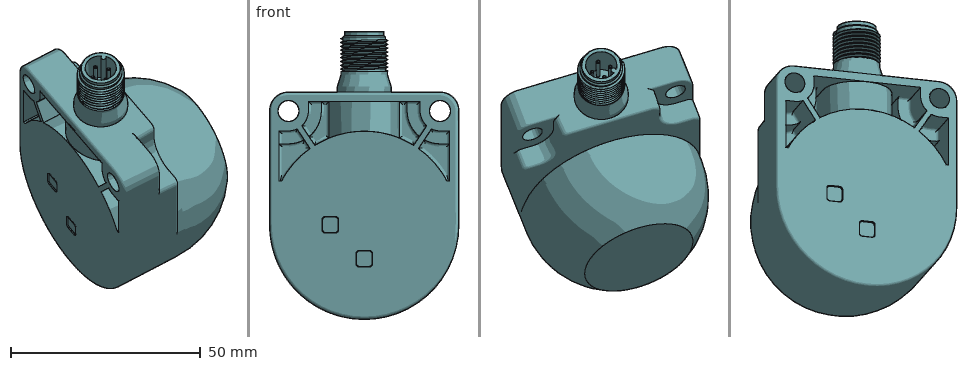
import cadquery as cq
import math


dome_radius = 25.0
drum_length = 19.7
total_depth = 39.6

block_half_width = dome_radius
block_top = 35.0
block_depth = 17.55
corner_radius = 5.0
edge_round = 1.0
back_edge_round = 0.9

hole_diameter = 5.5
hole_x = block_half_width - corner_radius
hole_z = block_top - corner_radius

recess_floor = 11.6
recess_radius = 5.9
recess_draft = 3
recess_lip_round = 2.0
recess_rim_round = 0.6

wall = 2.5
hollow_depth = block_depth - wall
boss_radius = 5.25
step_radius = 8.7
step_depth = recess_floor - wall
rib_width = 1.5
hollow_drum_radius = 24.7
hollow_floor_round = 0.9
hollow_bottom = 11.55

connector_y = 9.4
connector_top = block_top + 15.95
barrel_radius = 9.3
flange_radius = 7.15
flange_top = block_top + 1.4
neck_radius = 6.15
neck_bottom = block_top + 4.55
neck_top = block_top + 5.5
core_radius = 5.6
nose_radius = 5.2
nose_length = 1.0
nose_chamfer = core_radius - nose_radius
thread_radius = 6.2
thread_length = 8.5
thread_turns = 8.5
thread_pitch = thread_length / thread_turns
thread_start = neck_top + 0.1
bore_radius = 4.1
bore_depth = 9.1
pin_count = 4
pin_radius = 0.5
pin_circle = 2.5
pin_chamfer = 0.2
pin_top = connector_top - 2.05
key_radius = 0.7
key_circle = 3.65
key_angle = 135

mark_size = 4.4
mark_corner = 0.9
mark_depth = 0.3
mark_draft = 30
mark_offset = 9.0


def facing_back(y):
    """Sketch plane at depth y, looking along +Y with Z up (its x is mirrored)."""
    return cq.Workplane(cq.Plane(origin=(0, y, 0), xDir=(-1, 0, 0), normal=(0, 1, 0)))


def y_cylinder(radius, start, end, x=0, z=0):
    return facing_back(start).center(-x, z).circle(radius).extrude(end - start)


def z_cylinder(radius, bottom, top, x=0, y=connector_y):
    return cq.Workplane("XY", origin=(x, y, bottom)).circle(radius).extrude(top - bottom)


def corner_block(side, radius, start, end):
    """Block filling a top corner, its inner corner rounded about the mounting hole."""
    reach = corner_radius + 2 * radius
    return (
        facing_back(start)
        .center(side * (hole_x + reach / 2 - radius), hole_z + reach / 2 - radius)
        .rect(reach, reach)
        .extrude(end - start)
        .edges("|Y and <Z")
        .edges("<X" if side < 0 else ">X")
        .fillet(radius)
    )


def make_drum():
    """Drum with a rounded front rim, closed by a truncated sphere."""
    flat_radius = math.sqrt(dome_radius**2 - (total_depth - drum_length) ** 2)
    half_angle = math.asin((total_depth - drum_length) / dome_radius) / 2
    profile = (
        cq.Workplane("XY")
        .lineTo(dome_radius - edge_round, 0)
        .radiusArc((dome_radius, edge_round), -edge_round)
        .lineTo(dome_radius, drum_length)
        .threePointArc(
            (dome_radius * math.cos(half_angle), drum_length + dome_radius * math.sin(half_angle)),
            (flat_radius, total_depth),
        )
        .lineTo(0, total_depth)
        .close()
    )
    return profile.revolve(360, (0, 0, 0), (0, 1, 0))


def make_recess(side):
    """Drafted screw head recess, open to the side and top."""
    outer = side * 2 * block_half_width
    top = 2 * block_top
    left = side * (hole_x - recess_radius)
    low = hole_z - recess_radius
    return (
        facing_back(recess_floor)
        .moveTo(-outer, top)
        .lineTo(-left, top)
        .lineTo(-left, hole_z)
        .radiusArc((-side * hole_x, low), side * recess_radius)
        .lineTo(-outer, low)
        .close()
        .extrude(block_depth - recess_floor + 0.75, taper=-recess_draft)
    )


def edge_near(x, y, z):
    """Selector for the edges whose middle lies close to a point."""
    reach = 0.6
    return cq.selectors.BoxSelector((x - reach, y - reach, z - reach), (x + reach, y + reach, z + reach))


def make_block():
    """Block with rounded corners, recessed at the back corners, kept above the drum axis."""
    block = (
        facing_back(0)
        .rect(2 * block_half_width, 2 * block_top)
        .extrude(block_depth)
        .edges("|Y")
        .fillet(corner_radius)
        .faces("<Y")
        .edges()
        .fillet(edge_round)
    )
    lip_y = (recess_floor + block_depth) / 2
    corner_reach = corner_radius * math.cos(math.pi / 4)
    for side in (-1, 1):
        block = block.cut(make_recess(side))
        top_lip = edge_near(side * (hole_x - recess_radius), lip_y, block_top)
        side_lip = edge_near(side * block_half_width, lip_y, hole_z - recess_radius)
        block = block.edges(top_lip + side_lip).fillet(recess_lip_round)
        rim = edge_near(side * (hole_x + corner_reach), recess_floor, hole_z + corner_reach)
        block = block.edges(rim).fillet(recess_rim_round)
    block = block.faces(">Y").edges().fillet(back_edge_round)
    upper_half = cq.Workplane("XY").box(
        2 * block_half_width, 2 * block_depth, block_top, centered=(True, True, False)
    )
    return block.intersect(upper_half)


def make_rib(side):
    """Thin web from a screw boss toward the drum axis."""
    length = math.hypot(hole_x, hole_z)
    tilt = math.degrees(math.atan2(hole_x, hole_z))
    return (
        cq.Workplane("XY")
        .box(rib_width, hollow_depth, length, centered=(True, False, False))
        .rotate((0, 0, 0), (0, 1, 0), side * tilt)
    )


def make_hollow_level(depth, corner):
    """Cavity around the drum and barrel to one depth, leaving corner blocks and ribs standing."""
    half_width = block_half_width - wall
    ceiling = block_top - wall
    level = cq.Workplane("XY").box(2 * half_width, depth, ceiling, centered=(True, False, False))
    level = level.cut(y_cylinder(hollow_drum_radius, 0, depth))
    for side in (-1, 1):
        level = level.cut(corner_block(side, corner, 0, depth))
        level = level.cut(make_rib(side))
    level = level.cut(z_cylinder(barrel_radius, 0, ceiling))
    if depth > connector_y:
        barrel_back = cq.Workplane("XY").box(
            2 * barrel_radius, depth - connector_y, ceiling, centered=(True, False, False)
        )
        level = level.cut(barrel_back.translate((0, connector_y, 0)))
    return level.faces(">Y").edges().fillet(hollow_floor_round)


def make_hollow():
    """Hollow with a shallow step around each screw boss, its thin lower tips cut short."""
    shallow = make_hollow_level(step_depth, boss_radius)
    deep = make_hollow_level(hollow_depth, step_radius)
    tips = cq.Workplane("XY").box(
        2 * block_half_width, 2 * block_depth, hollow_bottom, centered=(True, True, False)
    )
    return shallow.union(deep).cut(tips)


def make_thread():
    """Helical ridge with a sharp crest, its root sunk a little into the core."""
    sink = 0.1
    half_base = 0.42 * thread_pitch
    helix = cq.Wire.makeHelix(thread_pitch, thread_length, core_radius)
    ridge = (
        cq.Workplane("XZ")
        .moveTo(core_radius - sink, -half_base)
        .lineTo(thread_radius, 0)
        .lineTo(core_radius - sink, half_base)
        .close()
        .sweep(cq.Workplane(helix), isFrenet=True)
    )
    return ridge.translate((0, connector_y, thread_start))


def make_connector():
    """Flanged and threaded round plug, turned about its own axis."""
    return (
        cq.Workplane("XZ", origin=(0, connector_y, 0))
        .moveTo(0, block_top - wall)
        .lineTo(flange_radius, block_top - wall)
        .lineTo(flange_radius, flange_top)
        .lineTo(neck_radius, neck_bottom)
        .lineTo(neck_radius, neck_top)
        .lineTo(core_radius, neck_top)
        .lineTo(core_radius, connector_top - nose_length - nose_chamfer)
        .lineTo(nose_radius, connector_top - nose_length)
        .lineTo(nose_radius, connector_top)
        .lineTo(0, connector_top)
        .close()
        .revolve(360, (0, 0, 0), (0, 1, 0))
        .union(make_thread())
    )


def make_socket():
    """Bore of the plug, leaving the contact pins and the coding key standing."""
    bottom = connector_top - bore_depth
    socket = z_cylinder(bore_radius, bottom, connector_top)
    for i in range(pin_count):
        angle = 2 * math.pi * i / pin_count
        pin = z_cylinder(
            pin_radius,
            bottom,
            pin_top,
            pin_circle * math.cos(angle),
            connector_y + pin_circle * math.sin(angle),
        )
        socket = socket.cut(pin.faces(">Z").chamfer(pin_chamfer))
    angle = math.radians(key_angle)
    key = z_cylinder(
        key_radius,
        bottom,
        connector_top,
        key_circle * math.cos(angle),
        connector_y + key_circle * math.sin(angle),
    )
    return socket.cut(key)


def make_mark(x, z):
    """Shallow square recess with rounded corners and sloping sides."""
    return (
        facing_back(0)
        .center(-x, z)
        .sketch()
        .rect(mark_size, mark_size)
        .vertices()
        .fillet(mark_corner)
        .finalize()
        .extrude(mark_depth, taper=mark_draft)
    )


result = make_drum().union(make_block()).cut(make_hollow())
for side in (-1, 1):
    result = result.cut(y_cylinder(hole_diameter / 2, 0, block_depth, side * hole_x, hole_z))
result = result.union(make_connector()).cut(make_socket())
for mark_x, mark_z in ((-mark_offset, 0), (0, -mark_offset)):
    result = result.cut(make_mark(mark_x, mark_z))